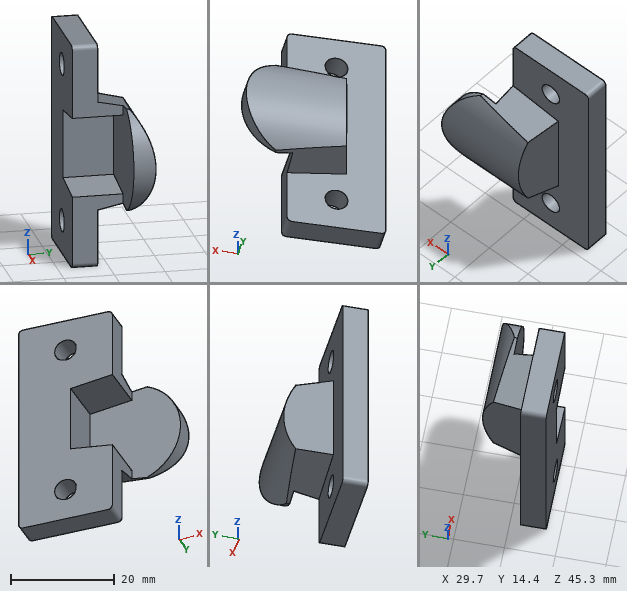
import cadquery as cq
import math

PLATE_WIDTH = 19.55
PLATE_HEIGHT = 45.3
PLATE_THICKNESS = 5.05
CORNER_RADIUS = 1.0
HOLE_DIAMETER = 4.5
HOLE_SPACING = 31.9

TOTAL_WIDTH = 29.7
TOTAL_DEPTH = 14.4
LIP_FRONT_Y = 10.0
CATCH_LEFT_X = 7.85
CATCH_LEFT_HALF_HEIGHT = 9.45
FLARE_ANGLE = 7.5
DRAFT_ANGLE = 12.0
CROWN_RADIUS = 15.85
LIP_RADIUS = 11.25

RECESS_LEFT_X = 10.85
RECESS_LEFT_HALF_HEIGHT = 6.9

FLARE_SLOPE = math.tan(math.radians(FLARE_ANGLE))


def flared_block(left_x, right_x, left_half_height, start_y, depth, draft=0):
    """Block growing toward +Y whose height widens toward +X."""
    right_half_height = left_half_height + (right_x - left_x) * FLARE_SLOPE
    return (
        cq.Workplane("XZ", origin=(0, start_y, 0))
        .polyline([
            (left_x, -left_half_height),
            (right_x, -right_half_height),
            (right_x, right_half_height),
            (left_x, left_half_height),
        ])
        .close()
        .extrude(-depth, taper=draft)
    )


def make_plate():
    plate = (
        cq.Workplane("XY")
        .box(PLATE_WIDTH, PLATE_THICKNESS, PLATE_HEIGHT, centered=(False, False, True))
        .edges("|Y")
        .fillet(CORNER_RADIUS)
    )
    holes = (
        cq.Workplane("XZ")
        .pushPoints([(PLATE_WIDTH / 2, side * HOLE_SPACING / 2) for side in (-1, 1)])
        .circle(HOLE_DIAMETER / 2)
        .extrude(-PLATE_THICKNESS)
    )
    return plate.cut(holes)


def make_catch():
    block_right_x = TOTAL_WIDTH + TOTAL_DEPTH
    block = flared_block(
        CATCH_LEFT_X, block_right_x, CATCH_LEFT_HALF_HEIGHT,
        PLATE_THICKNESS, TOTAL_DEPTH - PLATE_THICKNESS, DRAFT_ANGLE,
    )

    step = (
        cq.Workplane("XY", origin=(0, 0, -PLATE_HEIGHT / 2))
        .polyline([
            (0, PLATE_THICKNESS),
            (PLATE_WIDTH, PLATE_THICKNESS),
            (PLATE_WIDTH, LIP_FRONT_Y),
            (TOTAL_WIDTH, LIP_FRONT_Y),
            (TOTAL_WIDTH, TOTAL_DEPTH),
            (0, TOTAL_DEPTH),
        ])
        .close()
        .extrude(PLATE_HEIGHT)
    )

    crown = (
        cq.Workplane("YZ")
        .center(TOTAL_DEPTH - CROWN_RADIUS, 0)
        .circle(CROWN_RADIUS)
        .extrude(TOTAL_WIDTH)
    )

    arc_center_x = TOTAL_WIDTH - LIP_RADIUS
    lip_end = (
        cq.Workplane("XZ")
        .center(arc_center_x, 0)
        .circle(LIP_RADIUS)
        .extrude(-TOTAL_DEPTH)
    )
    full_height = cq.Workplane("XY").box(
        PLATE_WIDTH, TOTAL_DEPTH, PLATE_HEIGHT, centered=(False, False, True)
    )
    return block.intersect(step).intersect(crown).intersect(lip_end.union(full_height))


recess = flared_block(RECESS_LEFT_X, PLATE_WIDTH, RECESS_LEFT_HALF_HEIGHT, 0, LIP_FRONT_Y)
result = make_plate().union(make_catch()).cut(recess)